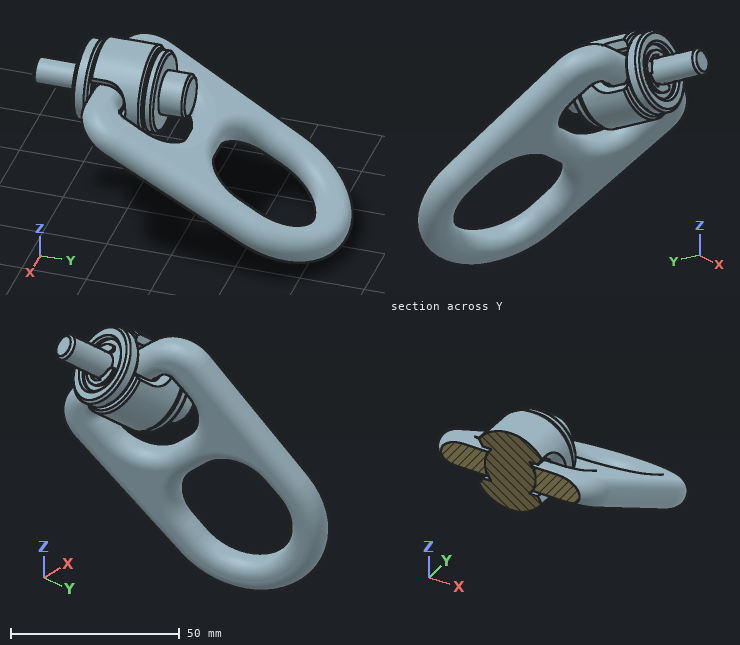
import cadquery as cq
import math


BAIL_TILT = 30.0
BAIL_THICKNESS = 10.0
BAR_RADIUS = BAIL_THICKNESS / 2
WEB_FLAT = 0.05
BAIL_WIDTH = 57.6
BAIL_CORNER_RADIUS = 12.6
CROWN_RADIUS = 27.2
CROWN_CENTER = 55.0

LOAD_HOLE_HALF_WIDTH = 15.9
LOAD_HOLE_BOTTOM = 36.0
LOAD_HOLE_TOP = CROWN_CENTER + LOAD_HOLE_HALF_WIDTH
LOAD_HOLE_CORNER = 12.6
LOAD_HOLE_TOP_CORNER = LOAD_HOLE_HALF_WIDTH

PIVOT_HOLE_HALF_WIDTH = 14.9
PIVOT_HOLE_BOTTOM = BAR_RADIUS + WEB_FLAT
PIVOT_HOLE_TOP = LOAD_HOLE_BOTTOM - BAIL_THICKNESS - WEB_FLAT
PIVOT_HOLE_TOP_CORNER = 12.4
PIVOT_HOLE_BOTTOM_CORNER = 2.2

BOLT_RADIUS = 4.1
BOLT_TIP = -25.0
BOLT_CHAMFER = 0.9
HEAD_RADIUS = 6.7
HEAD_END = 23.05
HEAD_CHAMFER = 0.8

FLANGE_RADIUS = 12.4
FLANGE_CHAMFER = 0.9
FLANGE_FRONT = -10.2
FLANGE_BACK = -5.4
WASHER_BACK = 15.1
WASHER_CHAMFER = 0.8

HOUSING_RADIUS = 13.6
HOUSING_CHAMFER = 0.8
HOUSING_FRONT = -4.9
HOUSING_BACK = 11.7
NECK_RADIUS = 7.9
CORE_RADIUS = 8.7

RECESS_RADIUS = 8.3
RECESS_DEPTH = 1.5
RECESS_CHAMFER = 0.8

CLIP_RADIUS = 6.5
CLIP_THICKNESS = 0.8
CLIP_GAP = 5.8
CLIP_TIP_FILLET = 0.9
CLIP_RELIEF_RADIUS = 5.0
CLIP_RELIEF_START = 98.0
CLIP_RELIEF_END = 157.0

SOCKET_RADIUS = 5.5
FLARE_START = 9.6
FLARE_REACH = 7.1
FLARE_HALF_HEIGHT = 12.3


def polar(radius, degrees):
    angle = math.radians(degrees)
    return radius * math.cos(angle), radius * math.sin(angle)


def inset_rim_path():
    """Center line of the outer rounding: two corner arcs and a crown arc with common tangents."""
    corner_x = BAIL_WIDTH / 2 - BAIL_CORNER_RADIUS
    corner_radius = BAIL_CORNER_RADIUS - BAR_RADIUS
    corner_y = corner_radius
    crown_radius = CROWN_RADIUS - BAR_RADIUS
    rise = CROWN_CENTER - corner_y
    lean = math.degrees(
        math.atan2(corner_x, rise) - math.asin((crown_radius - corner_radius) / math.hypot(corner_x, rise))
    )

    def on_corner(degrees):
        x, y = polar(corner_radius, degrees)
        return corner_x + x, corner_y + y

    def on_crown(degrees):
        x, y = polar(crown_radius, degrees)
        return x, CROWN_CENTER + y

    def mirrored(point):
        return -point[0], point[1]

    corner_start = on_corner(-90)
    corner_middle = on_corner((lean - 90) / 2)
    corner_end = on_corner(lean)
    return (
        cq.Workplane("XY")
        .moveTo(0, 0)
        .lineTo(*corner_start)
        .threePointArc(corner_middle, corner_end)
        .lineTo(*on_crown(lean))
        .threePointArc(on_crown(90), on_crown(180 - lean))
        .lineTo(*mirrored(corner_end))
        .threePointArc(mirrored(corner_middle), mirrored(corner_start))
        .close()
    )


def hole_path(half_width, bottom, top, bottom_corner, top_corner):
    """Center line of the rounding around a hole with the given opening and corner radii."""
    x = half_width + BAR_RADIUS
    y_low = bottom - BAR_RADIUS
    y_high = top + BAR_RADIUS
    low = bottom_corner + BAR_RADIUS
    high = top_corner + BAR_RADIUS
    path = (
        cq.Workplane("XY")
        .moveTo(0, y_low)
        .lineTo(x - low, y_low)
        .radiusArc((x, y_low + low), -low)
        .lineTo(x, y_high - high)
    )
    if top_corner == half_width:
        path = path.threePointArc((0, y_high), (-x, y_high - high))
    else:
        path = (
            path.radiusArc((x - high, y_high), -high)
            .lineTo(high - x, y_high)
            .radiusArc((-x, y_high - high), -high)
        )
    return path.lineTo(-x, y_low + low).radiusArc((low - x, y_low), -low).close()


def load_hole_path():
    return hole_path(
        LOAD_HOLE_HALF_WIDTH, LOAD_HOLE_BOTTOM, LOAD_HOLE_TOP, LOAD_HOLE_CORNER, LOAD_HOLE_TOP_CORNER
    )


def pivot_hole_path():
    return hole_path(
        PIVOT_HOLE_HALF_WIDTH,
        PIVOT_HOLE_BOTTOM,
        PIVOT_HOLE_TOP,
        PIVOT_HOLE_BOTTOM_CORNER,
        PIVOT_HOLE_TOP_CORNER,
    )


def half_round(path, start_y, crest_y):
    """Half disc swept along a closed path that crosses x = 0 at start_y, bulging to crest_y."""
    return (
        cq.Workplane("YZ")
        .moveTo(start_y, -BAR_RADIUS)
        .threePointArc((crest_y, 0), (start_y, BAR_RADIUS))
        .close()
        .sweep(path)
    )


def plate(path):
    """Slab of the full bail thickness inside a closed path."""
    return path.extrude(BAR_RADIUS, both=True)


def housing_core():
    """Cylinder that floors the two sockets, chamfered down to the neck at the housing front."""
    cylinder = cq.Workplane("XZ", origin=(0, HOUSING_BACK, 0)).circle(CORE_RADIUS)
    return cylinder.extrude(HOUSING_BACK - HOUSING_FRONT).faces("<Y").chamfer(CORE_RADIUS - NECK_RADIUS)


def neck():
    """Cylinder bridging the gap between the flange and the housing."""
    plane = cq.Workplane("XZ", origin=(0, HOUSING_FRONT, 0))
    return plane.circle(NECK_RADIUS).extrude(HOUSING_FRONT - FLANGE_BACK)


def make_bail():
    """Rounded plate tilted about the pivot; its bar is interrupted by the housing core."""
    core = plate(inset_rim_path()).cut(plate(load_hole_path())).cut(plate(pivot_hole_path()))
    outer_rounding = half_round(inset_rim_path(), 0, -BAR_RADIUS)
    load_rounding = half_round(load_hole_path(), LOAD_HOLE_BOTTOM - BAR_RADIUS, LOAD_HOLE_BOTTOM)
    pivot_rounding = half_round(pivot_hole_path(), PIVOT_HOLE_BOTTOM - BAR_RADIUS, PIVOT_HOLE_BOTTOM)
    flat = core.union(outer_rounding).union(load_rounding).union(pivot_rounding)
    tilted = flat.rotate((0, 0, 0), (1, 0, 0), -BAIL_TILT)
    return tilted.cut(housing_core()).cut(neck())


def swivel_blank():
    """Bolt, flange, neck, housing, washer and bolt head turned as one profile about Y."""
    groove_radius = FLANGE_RADIUS - WASHER_CHAMFER
    profile = [
        (0, BOLT_TIP),
        (BOLT_RADIUS - BOLT_CHAMFER, BOLT_TIP),
        (BOLT_RADIUS, BOLT_TIP + BOLT_CHAMFER),
        (BOLT_RADIUS, FLANGE_FRONT + RECESS_DEPTH),
        (RECESS_RADIUS, FLANGE_FRONT + RECESS_DEPTH),
        (RECESS_RADIUS, FLANGE_FRONT + RECESS_CHAMFER),
        (RECESS_RADIUS + RECESS_CHAMFER, FLANGE_FRONT),
        (FLANGE_RADIUS - FLANGE_CHAMFER, FLANGE_FRONT),
        (FLANGE_RADIUS, FLANGE_FRONT + FLANGE_CHAMFER),
        (FLANGE_RADIUS, FLANGE_BACK - FLANGE_CHAMFER),
        (FLANGE_RADIUS - FLANGE_CHAMFER, FLANGE_BACK),
        (NECK_RADIUS, FLANGE_BACK),
        (NECK_RADIUS, HOUSING_FRONT),
        (HOUSING_RADIUS - HOUSING_CHAMFER, HOUSING_FRONT),
        (HOUSING_RADIUS, HOUSING_FRONT + HOUSING_CHAMFER),
        (HOUSING_RADIUS, HOUSING_BACK - HOUSING_CHAMFER),
        (HOUSING_RADIUS - HOUSING_CHAMFER, HOUSING_BACK),
        (groove_radius, HOUSING_BACK),
        (FLANGE_RADIUS, HOUSING_BACK + WASHER_CHAMFER),
        (FLANGE_RADIUS, WASHER_BACK - WASHER_CHAMFER),
        (FLANGE_RADIUS - WASHER_CHAMFER, WASHER_BACK),
        (HEAD_RADIUS, WASHER_BACK),
        (HEAD_RADIUS, HEAD_END - HEAD_CHAMFER),
        (HEAD_RADIUS - HEAD_CHAMFER, HEAD_END),
        (0, HEAD_END),
    ]
    return cq.Workplane("XY").polyline(profile).close().revolve(360, (0, 0), (0, 1))


def socket_outline(plane, reach, half_height):
    """Closed U: a half ellipse behind the pivot and a straight mouth at the housing front."""
    return (
        plane.moveTo(HOUSING_FRONT, -half_height)
        .lineTo(0, -half_height)
        .ellipseArc(reach, half_height, -90, 90, startAtCurrent=True)
        .lineTo(HOUSING_FRONT, half_height)
        .close()
    )


def socket():
    """Straight slot, then flared to the housing surface, on +X."""
    straight = socket_outline(cq.Workplane("YZ"), SOCKET_RADIUS, SOCKET_RADIUS).extrude(FLARE_START)
    flare_plane = cq.Workplane("YZ", origin=(FLARE_START, 0, 0))
    flare_base = socket_outline(flare_plane, SOCKET_RADIUS, SOCKET_RADIUS)
    flare_mouth = flare_base.workplane(offset=HOUSING_RADIUS - FLARE_START)
    flare = socket_outline(flare_mouth, FLARE_REACH, FLARE_HALF_HEIGHT).loft(ruled=True)
    return straight.union(flare)


def clip_plane():
    """Floor of the flange recess, facing -Y."""
    return cq.Workplane("XZ", origin=(0, FLANGE_FRONT + RECESS_DEPTH, 0))


def clip_relief():
    """Sector between the bolt and the relief radius, on the upper side of the clip."""
    middle = (CLIP_RELIEF_START + CLIP_RELIEF_END) / 2
    return (
        clip_plane()
        .moveTo(*polar(BOLT_RADIUS, CLIP_RELIEF_START))
        .lineTo(*polar(CLIP_RELIEF_RADIUS, CLIP_RELIEF_START))
        .threePointArc(polar(CLIP_RELIEF_RADIUS, middle), polar(CLIP_RELIEF_RADIUS, CLIP_RELIEF_END))
        .lineTo(*polar(BOLT_RADIUS, CLIP_RELIEF_END))
        .threePointArc(polar(BOLT_RADIUS, middle), polar(BOLT_RADIUS, CLIP_RELIEF_START))
        .close()
        .extrude(CLIP_THICKNESS)
    )


def retaining_clip():
    """C-shaped clip on the recess floor, open toward +X, with two reliefs beside the bolt."""
    ring = clip_plane().circle(CLIP_RADIUS).circle(BOLT_RADIUS).extrude(CLIP_THICKNESS)
    gap = clip_plane().center(CLIP_RADIUS, 0).rect(2 * CLIP_RADIUS, CLIP_GAP).extrude(CLIP_THICKNESS)
    clip = ring.cut(gap).edges("|Y and >X").fillet(CLIP_TIP_FILLET)
    relief = clip_relief()
    return clip.cut(relief).cut(relief.mirror("XY"))


def make_swivel():
    right_socket = socket()
    return (
        swivel_blank()
        .cut(right_socket)
        .cut(right_socket.rotate((0, 0, 0), (0, 1, 0), 180))
        .union(housing_core())
        .union(retaining_clip())
    )


bail = make_bail()
swivel = make_swivel()

result = cq.Compound.makeCompound([bail.solids().val(), swivel.solids().val()])